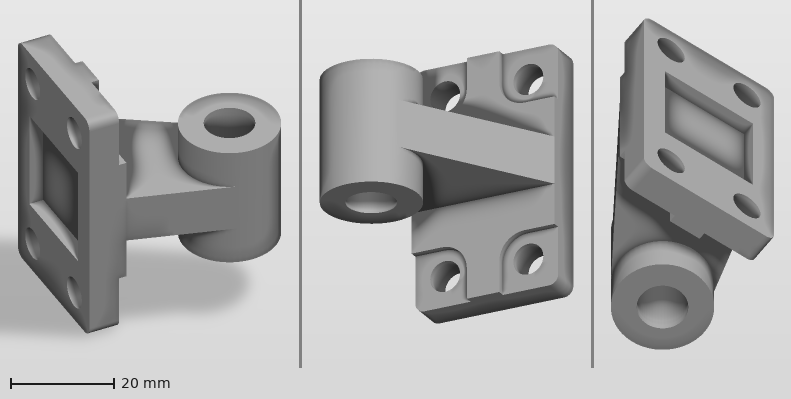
import cadquery as cq
import math

plate_width = 31.0
plate_height = 51.0
plate_thickness = 8.0
corner_radius = 2.0

hole_diameter = 6.5
hole_inset = 6.5
relief_radius = 5.5
relief_depth = 1.6
relief_size = hole_inset + relief_radius

pocket_size = 21.0
pocket_depth = 3.0

overall_width = 37.5
overall_depth = 42.0
hub_diameter = 20.0
hub_radius = hub_diameter / 2
hub_length = 26.0
bore_diameter = 10.0
web_thickness = 10.0
hub_x = overall_width - hub_radius
hub_y = overall_depth - hub_radius

plate_center_x = plate_width / 2


def make_plate():
    """Rounded plate with a square pocket, holes and relieved back corners."""
    plate = (
        cq.Workplane("XY")
        .box(plate_width, plate_thickness, plate_height)
        .edges("|Y")
        .fillet(corner_radius)
        .translate((plate_center_x, plate_thickness / 2, 0))
    )
    pocket = (
        cq.Workplane("XY")
        .box(pocket_size, pocket_depth, pocket_size)
        .translate((plate_center_x, pocket_depth / 2, 0))
    )
    plate = plate.cut(pocket)
    for side_x in (-1, 1):
        for side_z in (-1, 1):
            plate = plate.cut(make_corner_cut(side_x, side_z))
    return plate


def make_corner_cut(side_x, side_z):
    """Through hole and back relief with one rounded inner corner."""
    corner_x = plate_center_x + side_x * plate_width / 2
    corner_z = side_z * plate_height / 2
    hole_x = corner_x - side_x * hole_inset
    hole_z = corner_z - side_z * hole_inset
    inner_x = corner_x - side_x * relief_size
    inner_z = corner_z - side_z * relief_size
    arc_offset = relief_radius * math.sqrt(0.5)

    relief = (
        cq.Workplane("XZ", origin=(0, plate_thickness - relief_depth, 0))
        .moveTo(corner_x, corner_z)
        .lineTo(corner_x, inner_z)
        .lineTo(hole_x, inner_z)
        .threePointArc((hole_x - side_x * arc_offset, hole_z - side_z * arc_offset), (inner_x, hole_z))
        .lineTo(inner_x, corner_z)
        .close()
        .extrude(-relief_depth)
    )
    hole = (
        cq.Workplane("XZ")
        .center(hole_x, hole_z)
        .circle(hole_diameter / 2)
        .extrude(-plate_thickness)
    )
    return relief.union(hole)


def hub_tangent_point(start_x, start_y, side):
    """Point where a line from the start touches the left (-1) or right (1) of the hub."""
    to_hub_x = hub_x - start_x
    to_hub_y = hub_y - start_y
    distance = math.hypot(to_hub_x, to_hub_y)
    angle = math.atan2(to_hub_y, to_hub_x) - side * math.asin(hub_radius / distance)
    length = math.sqrt(distance**2 - hub_radius**2)
    return (start_x + length * math.cos(angle), start_y + length * math.sin(angle))


def make_web():
    """Web running from the full plate width to tangents of the hub."""
    return (
        cq.Workplane("XY")
        .moveTo(0, plate_thickness)
        .lineTo(plate_width, plate_thickness)
        .lineTo(*hub_tangent_point(plate_width, plate_thickness, 1))
        .lineTo(*hub_tangent_point(0, plate_thickness, -1))
        .close()
        .extrude(web_thickness / 2, both=True)
    )


def make_hub_cylinder(diameter):
    """Cylinder on the hub axis, as long as the hub."""
    return (
        cq.Workplane("XY")
        .center(hub_x, hub_y)
        .circle(diameter / 2)
        .extrude(hub_length / 2, both=True)
    )


result = (
    make_plate()
    .union(make_web())
    .union(make_hub_cylinder(hub_diameter))
    .cut(make_hub_cylinder(bore_diameter))
)